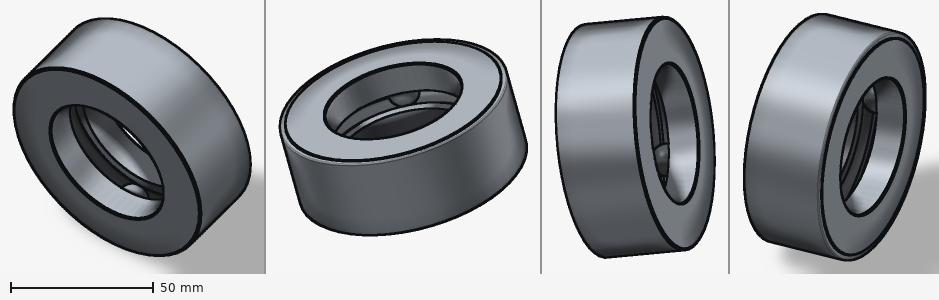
import cadquery as cq
import math

total_width = 30.1
outer_radius = 41.3
bore_radius = 24.6
edge_chamfer = 0.5
edge_round = 0.5
skirt_inner_radius = 81.15 / 2
boss_radius = 78.5 / 2
boss_height = 0.3
race_gap = 7.5

ball_count = 4
ball_radius = 5.8
ball_circle_radius = 33.0

mid_plane = total_width / 2
washer_back = mid_plane - race_gap / 2
cup_floor = mid_plane + race_gap / 2
rim_back = total_width - boss_height
bore_mouth_radius = bore_radius + edge_chamfer


def make_raceway():
    """Ring swept by a ball travelling round the ball circle."""
    return (
        cq.Workplane("XY")
        .center(ball_circle_radius, mid_plane)
        .circle(ball_radius)
        .revolve(360, (-ball_circle_radius, 0, 0), (-ball_circle_radius, 1, 0))
    )


def make_cup():
    """Back race with a thin skirt reaching forward and a low boss, sloped at 45 degrees, on its back face."""
    arc_inset = edge_round * (1 - math.sqrt(0.5))
    blank = (
        cq.Workplane("XY")
        .moveTo(skirt_inner_radius, 0)
        .lineTo(outer_radius - edge_chamfer, 0)
        .lineTo(outer_radius, edge_chamfer)
        .lineTo(outer_radius, rim_back - edge_round)
        .threePointArc(
            (outer_radius - arc_inset, rim_back - arc_inset),
            (outer_radius - edge_round, rim_back),
        )
        .lineTo(boss_radius, rim_back)
        .lineTo(boss_radius - boss_height, total_width)
        .lineTo(bore_mouth_radius, total_width)
        .lineTo(bore_radius, total_width - edge_chamfer)
        .lineTo(bore_radius, cup_floor)
        .lineTo(skirt_inner_radius, cup_floor)
        .close()
        .revolve(360, (0, 0, 0), (0, 1, 0))
    )
    return blank.cut(make_raceway())


def make_washer():
    """Front race, flush with the front of the skirt."""
    blank = (
        cq.Workplane("XY")
        .moveTo(bore_mouth_radius, 0)
        .lineTo(skirt_inner_radius, 0)
        .lineTo(skirt_inner_radius, washer_back)
        .lineTo(bore_radius, washer_back)
        .lineTo(bore_radius, edge_chamfer)
        .close()
        .revolve(360, (0, 0, 0), (0, 1, 0))
    )
    return blank.cut(make_raceway())


def make_ball(angle):
    """Ball in the raceway, at an angle in degrees from +X towards +Z."""
    x = ball_circle_radius * math.cos(math.radians(angle))
    z = ball_circle_radius * math.sin(math.radians(angle))
    return cq.Workplane("XY").sphere(ball_radius).translate((x, mid_plane, z))


cup = make_cup()
washer = make_washer()
balls = [make_ball(360 / ball_count * index) for index in range(ball_count)]

result = cq.Compound.makeCompound([cup.val(), washer.val(), *[ball.val() for ball in balls]])